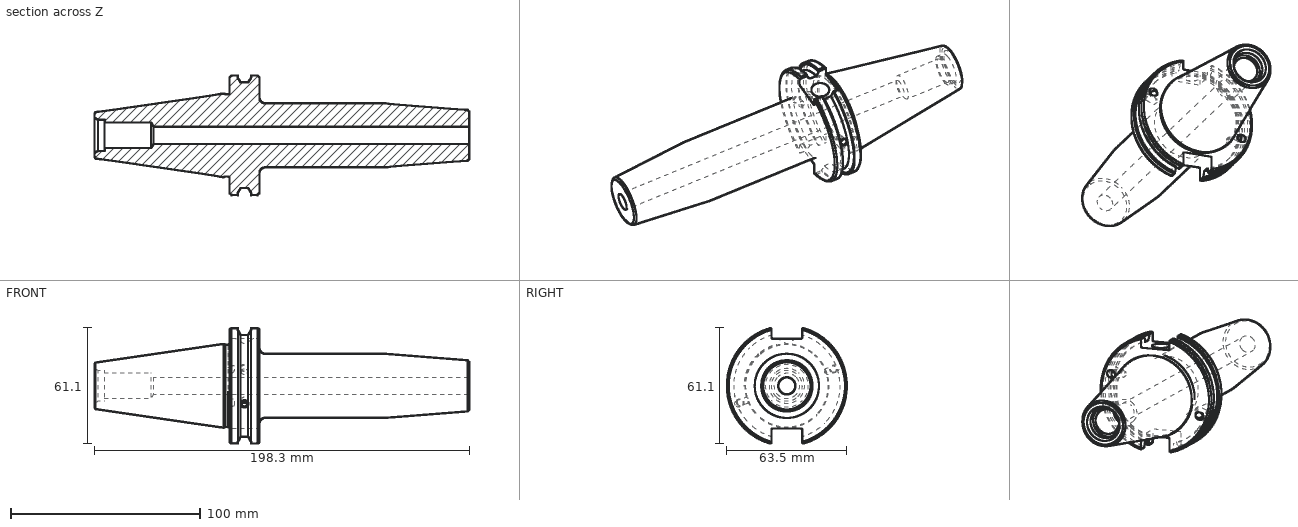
import cadquery as cq
import math

taper_length = 68.25
nose_length = 130.0
x_rear = -taper_length
x_nose = nose_length

gauge_radius = 44.45 / 2
taper_ratio = 7 / 24
rear_radius = gauge_radius - taper_length * taper_ratio / 2
rear_chamfer_radial = 1.0
rear_chamfer_axial = 0.7
neck_radius = 43.6 / 2
neck_start = 1.1
neck_fillet = 0.8

flange_radius = 63.5 / 2
flange_start = 3.18
flange_end = 19.1
flange_chamfer = 1.0
groove_centre = 11.1
groove_mouth_width = 7.0
groove_floor_width = 4.0
groove_floor_radius = 56.2 / 2
groove_half_angle = math.radians(30)
groove_slope_run = (groove_mouth_width - groove_floor_width) / 2
groove_slope_radius = groove_floor_radius + groove_slope_run / math.tan(groove_half_angle)

shank_radius = 34.0 / 2
shank_fillet = 3.0
tip_radius = 27.0 / 2
tip_half_angle = math.radians(4.5)
tip_cone_start = x_nose - (shank_radius - tip_radius) / math.tan(tip_half_angle)
tip_chamfer = 1.0

mouth_radius = 18.6 / 2
pilot_radius = 16.3 / 2
core_radius = 13.39 / 2
through_radius = 8.92 / 2
mouth_half_angle = math.radians(30)
mouth_depth = (mouth_radius - pilot_radius) / math.tan(mouth_half_angle)
pilot_depth = 5.5
core_depth = 30.0
drill_half_angle = math.radians(59)

slot_width = 16.1
slot_floor_fillet = 0.6
slot_mouth_flare_start = 29.93
upper_slot_floor = 25.0
lower_slot_floor = 22.6
dimple_radius = 9.53 / 2

coolant_plane_angle = 19.8
face_hole_radius = 4.0 / 2
face_hole_distance = 26.9
face_hole_tilt = math.radians(30)
face_hole_depth = 2.0
groove_hole_radius = 3.24 / 2
groove_hole_depth = 6.0
groove_sink_radius = 4.2 / 2
groove_sink_half_angle = math.radians(45)


def make_body():
    """Revolved outside shape: taper, neck, grooved flange, shank and tip."""
    mouth_left = groove_centre - groove_mouth_width / 2
    mouth_right = groove_centre + groove_mouth_width / 2
    floor_left = groove_centre - groove_floor_width / 2
    floor_right = groove_centre + groove_floor_width / 2
    profile = (
        cq.Workplane("XZ")
        .moveTo(x_rear, 0)
        .lineTo(x_rear, rear_radius - rear_chamfer_radial)
        .lineTo(x_rear + rear_chamfer_axial, rear_radius + rear_chamfer_axial * taper_ratio / 2)
        .lineTo(0, gauge_radius)
        .lineTo(neck_start, neck_radius)
        .lineTo(flange_start - neck_fillet, neck_radius)
        .radiusArc((flange_start, neck_radius + neck_fillet), -neck_fillet)
        .lineTo(flange_start, flange_radius - flange_chamfer)
        .lineTo(flange_start + flange_chamfer, flange_radius)
        .lineTo(mouth_left, flange_radius)
        .lineTo(mouth_left, groove_slope_radius)
        .lineTo(floor_left, groove_floor_radius)
        .lineTo(floor_right, groove_floor_radius)
        .lineTo(mouth_right, groove_slope_radius)
        .lineTo(mouth_right, flange_radius)
        .lineTo(flange_end - flange_chamfer, flange_radius)
        .lineTo(flange_end, flange_radius - flange_chamfer)
        .lineTo(flange_end, shank_radius + shank_fillet)
        .radiusArc((flange_end + shank_fillet, shank_radius), -shank_fillet)
        .lineTo(tip_cone_start, shank_radius)
        .lineTo(x_nose - tip_chamfer, tip_radius + tip_chamfer * math.tan(tip_half_angle))
        .lineTo(x_nose, tip_radius - tip_chamfer)
        .lineTo(x_nose, 0)
        .close()
    )
    return profile.revolve(360, (0, 0, 0), (1, 0, 0))


def make_bore():
    """Stepped bore opening at the small end of the taper."""
    core_cone = (core_radius - through_radius) / math.tan(drill_half_angle)
    profile = (
        cq.Workplane("XZ")
        .moveTo(x_rear, 0)
        .lineTo(x_rear, mouth_radius)
        .lineTo(x_rear + mouth_depth, pilot_radius)
        .lineTo(x_rear + pilot_depth, pilot_radius)
        .lineTo(x_rear + pilot_depth, core_radius)
        .lineTo(x_rear + core_depth, core_radius)
        .lineTo(x_rear + core_depth + core_cone, through_radius)
        .lineTo(x_nose, through_radius)
        .lineTo(x_nose, 0)
        .close()
    )
    return profile.revolve(360, (0, 0, 0), (1, 0, 0))


def make_drive_slot(floor_height):
    """Upward drive slot across the flange, rounded at the floor and flared at the mouth."""
    half_width = slot_width / 2
    flare = flange_radius - slot_mouth_flare_start
    fillet_top = floor_height + slot_floor_fillet
    fillet_inset = half_width - slot_floor_fillet
    profile = (
        cq.Workplane("YZ", origin=(flange_start, 0, 0))
        .moveTo(-fillet_inset, floor_height)
        .lineTo(fillet_inset, floor_height)
        .radiusArc((half_width, fillet_top), -slot_floor_fillet)
        .lineTo(half_width, slot_mouth_flare_start)
        .lineTo(half_width + flare, flange_radius)
        .lineTo(-half_width - flare, flange_radius)
        .lineTo(-half_width, slot_mouth_flare_start)
        .lineTo(-half_width, fillet_top)
        .radiusArc((-fillet_inset, floor_height), -slot_floor_fillet)
        .close()
    )
    return profile.extrude(flange_end - flange_start)


def make_dimple():
    """Conical drill dimple in the floor of the upper drive slot."""
    dimple_depth = dimple_radius / math.tan(drill_half_angle)
    cone = cq.Solid.makeCone(
        dimple_radius, 0, dimple_depth, cq.Vector(groove_centre, 0, upper_slot_floor), cq.Vector(0, 0, -1)
    )
    return cq.Workplane(obj=cone)


def make_drilled_hole(radius, depth, start, direction, overrun):
    """Blind hole with a drill-point end, begun an overrun ahead of its start point."""
    point_depth = radius / math.tan(drill_half_angle)
    end = start + direction * depth
    shaft = cq.Solid.makeCylinder(radius, depth + overrun, start - direction * overrun, direction)
    point = cq.Solid.makeCone(radius, 0, point_depth, end, direction)
    return cq.Workplane(obj=shaft.fuse(point))


def make_face_hole():
    """Hole in the rear flange face, slanted towards the spindle axis."""
    start = cq.Vector(flange_start, face_hole_distance, 0)
    direction = cq.Vector(math.cos(face_hole_tilt), -math.sin(face_hole_tilt), 0)
    overrun = face_hole_radius
    return make_drilled_hole(face_hole_radius, face_hole_depth, start, direction, overrun)


def make_groove_hole():
    """Countersunk radial hole in the groove floor."""
    start = cq.Vector(groove_centre, groove_floor_radius, 0)
    inward = cq.Vector(0, -1, 0)
    sink_depth = (groove_sink_radius - groove_hole_radius) / math.tan(groove_sink_half_angle)
    sink = cq.Solid.makeCone(groove_sink_radius, groove_hole_radius, sink_depth, start, inward)
    hole = make_drilled_hole(groove_hole_radius, groove_hole_depth, start, inward, 0)
    return hole.union(cq.Workplane(obj=sink))


result = make_body().cut(make_bore())
result = result.cut(make_drive_slot(upper_slot_floor))
result = result.cut(make_drive_slot(lower_slot_floor).rotate((0, 0, 0), (1, 0, 0), 180))
result = result.cut(make_dimple())
coolant_holes = make_face_hole().union(make_groove_hole())
for half_turn in (0, 180):
    turn = coolant_plane_angle + half_turn
    result = result.cut(coolant_holes.rotate((0, 0, 0), (1, 0, 0), turn))